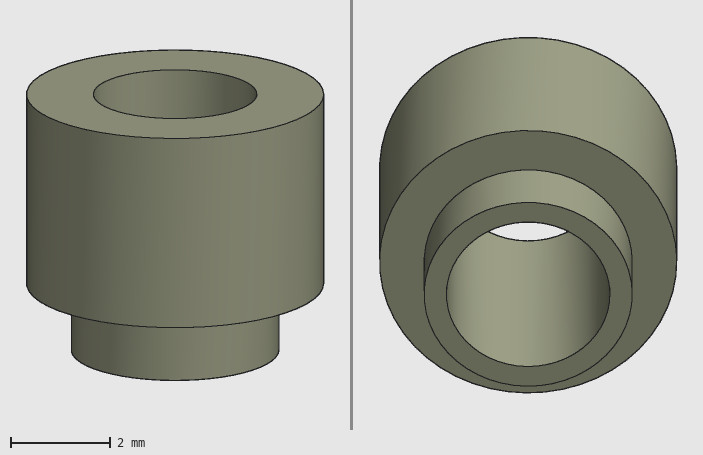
import cadquery as cq

body_diameter = 6.0
body_height = 4.0
spigot_diameter = 4.2
spigot_height = 1.4
bore_diameter = 3.3


def ring(outer_diameter, inner_diameter, height):
    """Plain tube standing on its workplane, extruded by the signed height."""
    return (
        cq.Workplane("XY")
        .circle(outer_diameter / 2)
        .circle(inner_diameter / 2)
        .extrude(height)
    )


body = ring(body_diameter, bore_diameter, body_height)
spigot = ring(spigot_diameter, bore_diameter, -spigot_height)

result = body.union(spigot)